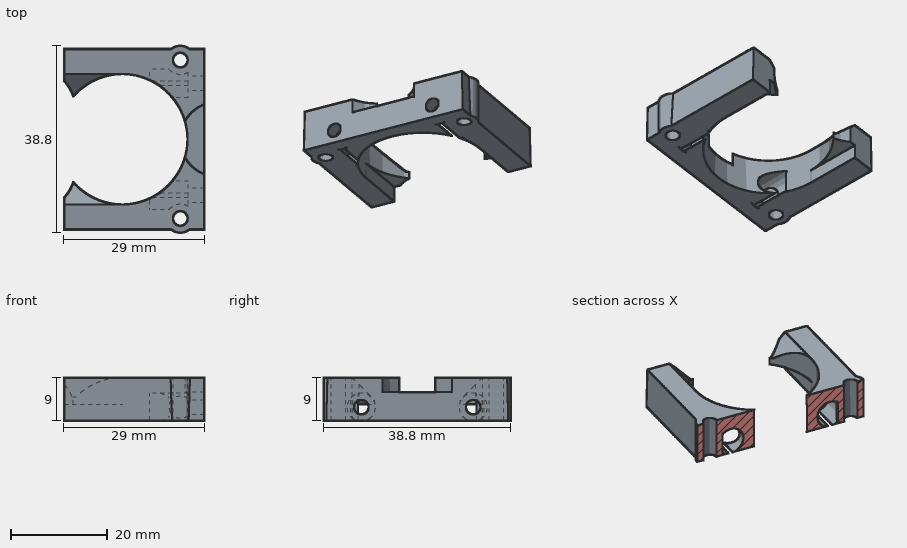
import cadquery as cq
import math

length = 29.0
height = 9.0
width_bottom = 37.7
width_top = 37.25
overall_width = 38.8

bore_radius = 13.5
bore_x = 12.02
relief_height = 3.4

hook_tip_y = 8.9
hook_root_y = 12.05
hook_flat_z = 4.93
hook_mid = (1.12, 10.55)
hook_tip_x = bore_x - math.sqrt(bore_radius**2 - hook_tip_y**2)

hole_diameter = 3.0
boss_radius = 3.0
boss_x = 24.05
boss_y = overall_width / 2 - boss_radius

cross_hole_y = 11.6
cross_hole_z = 2.87
pocket_radius = 2.9
pocket_start_x = 17.7
pocket_end_x = 25.6

recess_radius = 7.75
recess_x = 31.8
recess_depth = 3.03


def make_body():
    """Block with slightly drafted long sides and two screw bosses."""
    section = [
        (-width_bottom / 2, 0),
        (width_bottom / 2, 0),
        (width_top / 2, height),
        (-width_top / 2, height),
    ]
    body = cq.Workplane("YZ").polyline(section).close().extrude(length)
    bosses = (
        cq.Workplane("XY")
        .pushPoints([(boss_x, -boss_y), (boss_x, boss_y)])
        .circle(boss_radius)
        .extrude(height)
    )
    return body.union(bosses)


def make_opening():
    """Bore plus the mouth between the hook tips, full height."""
    bore = cq.Workplane("XY").center(bore_x, 0).circle(bore_radius).extrude(height)
    mouth = (
        cq.Workplane("XY")
        .moveTo(0, hook_root_y)
        .threePointArc(hook_mid, (hook_tip_x, hook_tip_y))
        .lineTo(bore_x, 0)
        .lineTo(hook_tip_x, -hook_tip_y)
        .threePointArc((hook_mid[0], -hook_mid[1]), (0, -hook_root_y))
        .close()
        .extrude(height)
    )
    return bore.union(mouth)


def make_hook_relief():
    """Straight channel below the hooks and the 45 degree flare above them."""
    channel = cq.Workplane("XY").box(
        bore_x, 2 * bore_radius, relief_height, centered=(False, True, False)
    )
    flare_floor_y = bore_radius - (height - hook_flat_z)
    flare = (
        cq.Workplane("YZ")
        .polyline([
            (-bore_radius, height),
            (-flare_floor_y, hook_flat_z),
            (flare_floor_y, hook_flat_z),
            (bore_radius, height),
        ])
        .close()
        .extrude(bore_x)
    )
    return channel.union(flare)


def make_cross_hole(side):
    """Stepped lengthwise hole, its pocket leaving a round wall at the vertical screw; side is +1 or -1."""
    plane = cq.Workplane("YZ", origin=(pocket_start_x, side * cross_hole_y, cross_hole_z))
    hole = plane.circle(hole_diameter / 2).extrude(length - pocket_start_x)
    pocket = plane.circle(pocket_radius).extrude(pocket_end_x - pocket_start_x)
    screw_wall = (
        cq.Workplane("XY")
        .center(boss_x, side * boss_y)
        .circle(boss_radius)
        .extrude(height)
    )
    return hole.union(pocket.cut(screw_wall))


screw_holes = (
    cq.Workplane("XY")
    .pushPoints([(boss_x, -boss_y), (boss_x, boss_y)])
    .circle(hole_diameter / 2)
    .extrude(height)
)
recess = (
    cq.Workplane("XY", origin=(recess_x, 0, height - recess_depth))
    .circle(recess_radius)
    .extrude(recess_depth)
)

result = make_body().cut(make_opening()).cut(make_hook_relief()).cut(screw_holes).cut(recess)
for side in (-1, 1):
    result = result.cut(make_cross_hole(side))